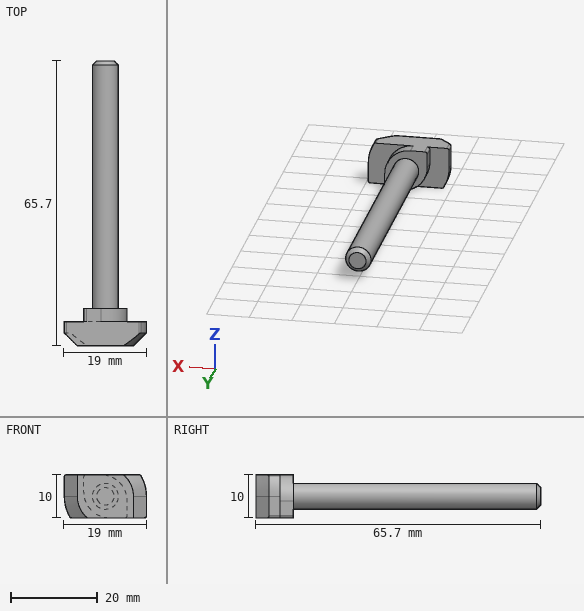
import cadquery as cq
import math

total_length = 65.7
head_width = 19.0
thickness = 10.0
head_depth = 5.6
head_chamfer = 3.0
head_edge_radius = 0.5
neck_edge_radius = 0.6
neck_length = 3.1
neck_arc_radius = 6.05
shank_diameter = 6.0
tip_chamfer = 1.0

half_width = head_width / 2
half_thickness = thickness / 2
arc_end_x = math.sqrt(half_width**2 - half_thickness**2)
arc_angle = math.asin(half_thickness / half_width)


def head_blank():
    """Rectangle with two opposite ends swung on the head's own circle."""
    mid_x = half_width * math.cos(arc_angle / 2)
    mid_z = half_width * math.sin(arc_angle / 2)
    outline = (
        cq.Workplane("XZ")
        .moveTo(-half_width, half_thickness)
        .lineTo(arc_end_x, half_thickness)
        .threePointArc((mid_x, mid_z), (half_width, 0))
        .lineTo(half_width, -half_thickness)
        .lineTo(-arc_end_x, -half_thickness)
        .threePointArc((-mid_x, -mid_z), (-half_width, 0))
        .close()
    )
    blank = outline.extrude(-head_depth)
    return blank.edges("|Y and (>Z or <Z)").fillet(head_edge_radius)


def head_end_profile():
    """Half section of the head, from the bolt axis to the chamfered end."""
    return cq.Workplane("XY").polyline([
        (0, 0),
        (half_width - head_chamfer, 0),
        (half_width, head_chamfer),
        (half_width, head_depth),
        (0, head_depth),
    ]).close()


def chamfer_half():
    """+X half of the chamfer envelope: conical above Z = 0, flat below."""
    cone = head_end_profile().revolve(90, (0, 0), (0, -1))
    wedge = head_end_profile().extrude(-half_thickness)
    return cone.union(wedge)


def head():
    end = chamfer_half()
    opposite_end = end.rotate((0, 0, 0), (0, 1, 0), 180)
    envelope = end.union(opposite_end)
    return head_blank().intersect(envelope)


def neck():
    """Square neck with two opposite corners rounded by large tangent arcs."""
    arc_center = half_thickness - neck_arc_radius
    arc_mid = arc_center + neck_arc_radius * math.sqrt(0.5)
    blank = (
        cq.Workplane("XZ", origin=(0, head_depth, 0))
        .moveTo(-half_thickness, half_thickness)
        .lineTo(arc_center, half_thickness)
        .threePointArc((arc_mid, arc_mid), (half_thickness, arc_center))
        .lineTo(half_thickness, -half_thickness)
        .lineTo(-arc_center, -half_thickness)
        .threePointArc((-arc_mid, -arc_mid), (-half_thickness, -arc_center))
        .close()
        .extrude(-neck_length)
    )
    for corner_x in (-half_thickness, half_thickness):
        corner = (corner_x, head_depth + neck_length / 2, -corner_x)
        blank = blank.edges(cq.selectors.NearestToPointSelector(corner)).fillet(neck_edge_radius)
    return blank


def shank():
    rod = cq.Workplane("XZ", origin=(0, head_depth, 0)).circle(shank_diameter / 2)
    return rod.extrude(head_depth - total_length).faces(">Y").chamfer(tip_chamfer)


result = head().union(neck()).union(shank())